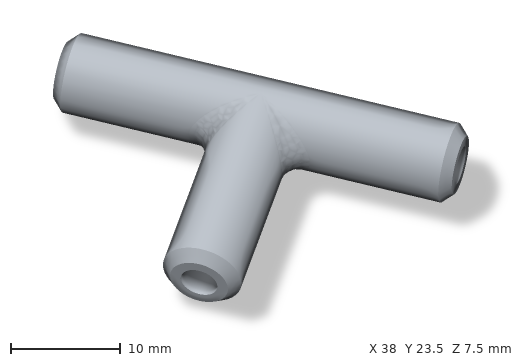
import cadquery as cq

run_length = 38.0
tube_diameter = 7.5
bore_diameter = 3.5
overall_depth = 23.5
end_chamfer = 1.0
crotch_radius = 2.0

tube_radius = tube_diameter / 2
branch_length = overall_depth - tube_radius


def tee(diameter):
    """Run along X, centred on the origin, joined by a branch toward -Y."""
    radius = diameter / 2
    run = cq.Workplane("YZ").circle(radius).extrude(run_length / 2, both=True)
    branch = cq.Workplane("XZ").circle(radius).extrude(branch_length)
    return run.union(branch)


crotch_edges = cq.selectors.BoxSelector(
    (-tube_radius, -tube_radius, -tube_radius),
    (tube_radius, -crotch_radius / 2, tube_radius),
)
body = tee(tube_diameter).edges(crotch_edges).fillet(crotch_radius)

body = body.faces("<X or >X or <Y").edges().chamfer(end_chamfer)

result = body.cut(tee(bore_diameter))